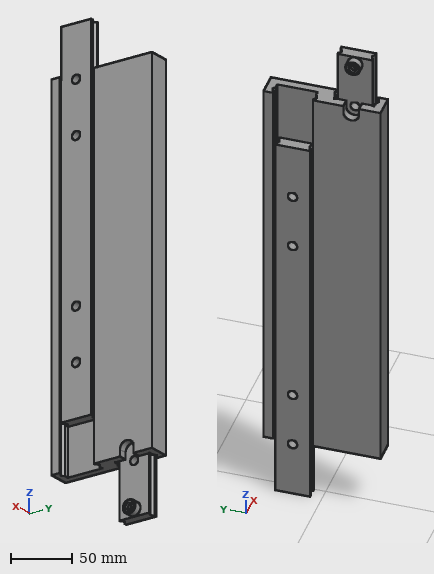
import cadquery as cq

total_length = 444.5
total_thickness = 22.0
mid_height = total_length / 2

housing_thickness = 20.0
housing_width = 100.0
housing_length = 350.0
housing_bottom = 51.0
housing_top = housing_bottom + housing_length

rail_length = 350.0
rail_thickness = 10.2
rail_width = 30.0
rail_offset = 25.0
rail_outer_x = total_thickness / 2
rail_inner_x = rail_outer_x - rail_thickness

side_gap = 2.2
floor_gap = 2.5
channel_width = rail_width + 2 * side_gap
channel_floor_x = floor_gap - rail_inner_x
race_radius = 3.02
race_inset = 4.5
race_x = rail_inner_x + race_inset
race_offset = (rail_width + side_gap) / 2

hole_diameter = 8.0
hole_pitch = 50.0
stop_diameter = 12.5
stop_length = 8.0
stop_end_distance = 6.5
stop_chamfer = 1.0
socket_diameter = 6.2
socket_depth = 3.5

notch_width = 13.5
notch_depth = 13.0


def box_between(x_min, x_max, y_size, z_min, z_max):
    """Box with the given X and Z limits, centred on Y = 0."""
    return cq.Workplane("XY").box(
        x_max - x_min, y_size, z_max - z_min, centered=(False, True, False)
    ).translate((x_min, 0, z_min))


def x_cylinder(diameter, x_start, length, z):
    """Cylinder on the rail centre line, running along +X from x_start."""
    return (
        cq.Workplane("YZ", origin=(x_start, 0, z))
        .circle(diameter / 2)
        .extrude(length)
    )


def ball_races(length):
    """The two round races at the edges of the rail in the -X side."""
    return (
        cq.Workplane("XY")
        .pushPoints([(-race_x, -race_offset), (-race_x, race_offset)])
        .circle(race_radius)
        .extrude(length)
    )


def make_rail():
    """Rail of the -X side, centred on Y = 0, with its stop at the bottom end."""
    rail = box_between(-rail_outer_x, -rail_inner_x, rail_width, 0, rail_length)
    rail = rail.cut(ball_races(rail_length))

    lower_holes = (hole_pitch, 2 * hole_pitch)
    upper_holes = (rail_length - 2 * hole_pitch, rail_length - hole_pitch)
    for hole_z in lower_holes + upper_holes:
        rail = rail.cut(x_cylinder(hole_diameter, -rail_outer_x, rail_thickness, hole_z))

    stop = x_cylinder(stop_diameter, -rail_inner_x, stop_length, stop_end_distance)
    stop = stop.faces(">X").edges().chamfer(stop_chamfer)
    socket_start = -rail_inner_x + stop_length - socket_depth
    socket = x_cylinder(socket_diameter, socket_start, socket_depth, stop_end_distance)
    return rail.union(stop).cut(socket)


def make_channel_cutter():
    """Channel, races and bottom access notch for the -X rail, centred on Y = 0."""
    half_thickness = housing_thickness / 2
    channel = box_between(
        -half_thickness, channel_floor_x, channel_width, housing_bottom, housing_top
    )
    races = ball_races(total_length)

    notch_centre_z = housing_bottom + notch_depth - notch_width / 2
    wall = half_thickness - channel_floor_x
    notch_round = x_cylinder(notch_width, channel_floor_x, wall, notch_centre_z)
    notch_mouth = box_between(
        channel_floor_x, half_thickness, notch_width, housing_bottom, notch_centre_z
    )
    return channel.union(races).union(notch_round).union(notch_mouth)


def turn_over(body, height):
    """Turn a body half a revolution about the Y direction through the given height."""
    return body.rotate((0, 0, height), (0, 1, height), 180)


def make_housing():
    half_thickness = housing_thickness / 2
    body = box_between(
        -half_thickness, half_thickness, housing_width, housing_bottom, housing_top
    )
    cutter = make_channel_cutter()
    housing_middle = (housing_bottom + housing_top) / 2
    body = body.cut(cutter.translate((0, rail_offset, 0)))
    return body.cut(turn_over(cutter, housing_middle).translate((0, -rail_offset, 0)))


housing = make_housing()
rails = []
for turned, side in ((False, 1), (True, -1)):
    rail = make_rail()
    if turned:
        rail = turn_over(rail, mid_height)
    rails.append(rail.translate((0, side * rail_offset, 0)))

result = cq.Compound.makeCompound([housing.val(), *[rail.val() for rail in rails]])